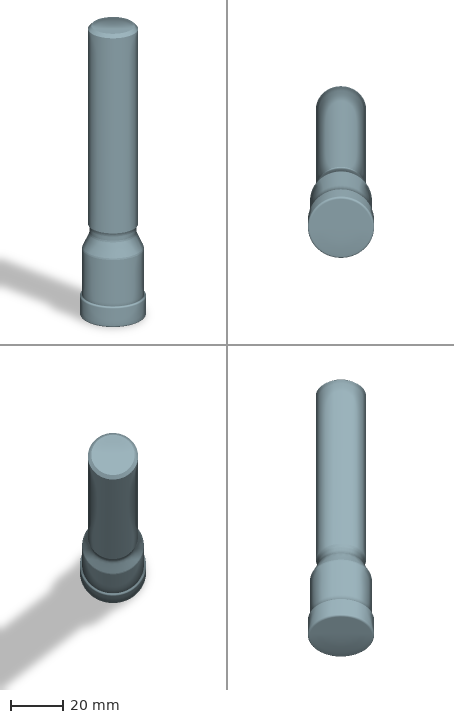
import cadquery as cq
import math

total_length = 120.6
collar_height = 8.6
neck_bottom = 34.4
shank_bottom = 38.0

collar_diameter = 25.5
shoulder_diameter = 23.8
neck_diameter = 18.0
shank_diameter = 19.3

cone_angle = 25.0
relief_angle = 30.0

tip_chamfer = 1.3
taper_fillet = 1.6
collar_top_round = 0.6
collar_bottom_round = 0.78

shoulder_radius = shoulder_diameter / 2
neck_radius = neck_diameter / 2
shank_radius = shank_diameter / 2
cone_height = (shoulder_radius - neck_radius) / math.tan(math.radians(cone_angle))
relief_height = (shank_radius - neck_radius) / math.tan(math.radians(relief_angle))
shoulder_top = neck_bottom - cone_height
neck_top = shank_bottom - relief_height


def edge_at(body, radius, height):
    """Circular edge of the body at the given radius and height."""
    margin = 0.01
    selector = cq.selectors.BoxSelector(
        (-radius - margin, -radius - margin, height - margin),
        (radius + margin, radius + margin, height + margin),
        boundingbox=True,
    )
    return body.edges(selector)


def build_pin():
    """Turned pin: shoulder, cone, relieved neck and long shank."""
    profile = (
        cq.Workplane("XZ")
        .lineTo(shoulder_radius, 0)
        .lineTo(shoulder_radius, shoulder_top)
        .lineTo(neck_radius, neck_bottom)
        .lineTo(neck_radius, neck_top)
        .lineTo(shank_radius, shank_bottom)
        .lineTo(shank_radius, total_length - tip_chamfer)
        .lineTo(shank_radius - tip_chamfer, total_length)
        .lineTo(0, total_length)
        .close()
    )
    pin = profile.revolve(360, (0, 0, 0), (0, 1, 0))
    pin = edge_at(pin, shoulder_radius, shoulder_top).fillet(taper_fillet)
    pin = edge_at(pin, neck_radius, neck_bottom).fillet(taper_fillet)
    return edge_at(pin, neck_radius, neck_top).fillet(taper_fillet)


def build_collar():
    """Thin ring around the foot of the shoulder."""
    collar = cq.Workplane("XY").circle(collar_diameter / 2).extrude(collar_height)
    collar = collar.faces(">Z").edges().fillet(collar_top_round)
    collar = collar.faces("<Z").edges().fillet(collar_bottom_round)
    bore = cq.Workplane("XY").circle(shoulder_radius).extrude(collar_height)
    return collar.cut(bore)


pin = build_pin()
collar = build_collar()
result = cq.Compound.makeCompound([pin.val(), collar.val()])